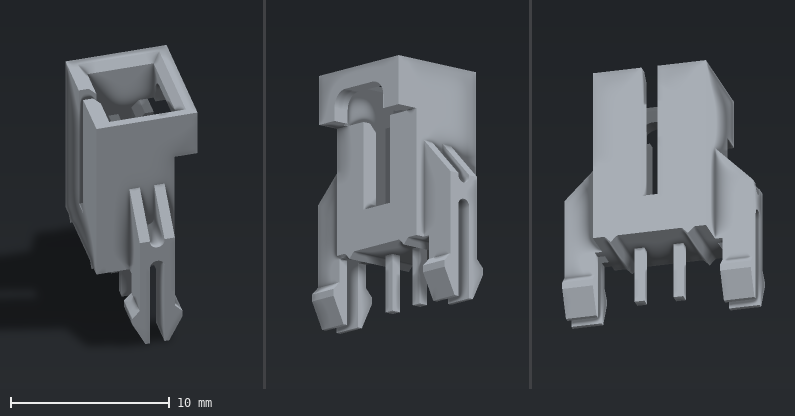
import cadquery as cq
import math

total_height = 15.62
body_bottom = 4.19
cavity_floor = 6.73
step_level = 12.43

body_width = 7.4
body_depth = 6.6
back_step = 1.52
front_y = -body_depth / 2
back_y = body_depth / 2
lower_back_y = back_y - back_step
lower_depth = lower_back_y - front_y

cavity_width = 5.37
front_wall = 1.15
back_wall = 1.12
lead_in = 0.5
lead_in_angle = 45
cavity_front_y = front_y + front_wall
cavity_back_y = back_y - back_wall
cavity_depth = cavity_back_y - cavity_front_y

key_slot_width = 1.05
window_width = 4.53
lintel_height = 1.28
window_top = total_height - lintel_height
window_corner_radius = 1.0

post_gap = 2.47
post_depth = 1.06
post_width = (cavity_width - post_gap) / 2

pin_size = 0.64
pin_pitch = 2.55
pin_y = -0.75
pin_bottom = 0.5

rib_spacing = 5.06
rib_height = 0.4
rib_root_radius = 0.23
flank_angle = math.pi / 4

overall_width = 12.34
leg_length = 2.0
leg_width = 2.3
leg_top_at_body = 10.47
leg_shoulder_top = 8.0
leg_gap = 0.94
gap_radius = leg_gap / 2
upper_groove_bottom = 7.45
lower_slot_top = 6.39
barb_half_width = 1.64
barb_top = 2.65
barb_edge_top = 2.15
barb_edge_bottom = 1.7
tip_half_width = 0.78


def block(x_size, y_size, z_bottom, z_top, x=0.0, y_front=0.0):
    """Box centred on x, starting at y_front, between two levels."""
    return (
        cq.Workplane("XY", origin=(x, y_front + y_size / 2, z_bottom))
        .rect(x_size, y_size)
        .extrude(z_top - z_bottom)
    )


def make_housing():
    lower = block(body_width, lower_depth, body_bottom, total_height, y_front=front_y)
    upper = block(body_width, body_depth, step_level, total_height, y_front=front_y)
    return lower.union(upper)


def make_cavity():
    cavity = block(cavity_width, cavity_depth, cavity_floor, total_height, y_front=cavity_front_y)
    mouth = (
        cq.Workplane("XY", origin=(0, cavity_front_y + cavity_depth / 2, total_height))
        .rect(cavity_width + 2 * lead_in, cavity_depth + 2 * lead_in)
        .extrude(-lead_in, taper=lead_in_angle)
    )
    return cavity.union(mouth)


def make_key_slot():
    return block(key_slot_width, front_wall, cavity_floor, total_height, y_front=front_y)


def make_window():
    window = block(window_width, back_wall, step_level, window_top, y_front=cavity_back_y)
    return window.edges("|Y and >Z").fillet(window_corner_radius)


def make_latch_post(side):
    post_x = side * (post_gap + post_width) / 2
    post_front_y = lower_back_y - post_depth
    post = block(post_width, post_depth, cavity_floor, step_level, post_x, post_front_y)
    return post.faces(">Z").edges("<Y").chamfer(lead_in)


def make_pin(side):
    pin_x = side * pin_pitch / 2
    return block(pin_size, pin_size, pin_bottom, step_level, pin_x, pin_y - pin_size / 2)


def make_rib(side):
    center_x = side * rib_spacing / 2
    tangent = rib_root_radius * math.tan(flank_angle / 2)
    half_width = rib_height / math.tan(flank_angle)
    root = half_width + tangent
    flank_x = half_width - tangent * math.cos(flank_angle)
    flank_z = body_bottom - tangent * math.sin(flank_angle)
    middle_x = root - rib_root_radius * math.sin(flank_angle / 2)
    middle_z = body_bottom - rib_root_radius * (1 - math.cos(flank_angle / 2))
    return (
        cq.Workplane("XZ", origin=(center_x, front_y, 0))
        .moveTo(-root, body_bottom)
        .threePointArc((-middle_x, middle_z), (-flank_x, flank_z))
        .lineTo(0, body_bottom - rib_height)
        .lineTo(flank_x, flank_z)
        .threePointArc((middle_x, middle_z), (root, body_bottom))
        .close()
        .extrude(-lower_depth)
    )


def make_leg(side):
    body_x = side * body_width / 2
    outer_x = side * overall_width / 2
    inner_x = outer_x - side * leg_length
    side_length = outer_x - body_x

    front_outline = (
        cq.Workplane("XZ")
        .polyline([
            (body_x, body_bottom),
            (body_x, leg_top_at_body),
            (outer_x, leg_shoulder_top),
            (outer_x, 0),
            (inner_x, 0),
            (inner_x, body_bottom),
        ])
        .close()
        .extrude(barb_half_width, both=True)
    )

    half_outline = [
        (leg_width / 2, leg_top_at_body),
        (leg_width / 2, barb_top),
        (barb_half_width, barb_edge_top),
        (barb_half_width, barb_edge_bottom),
        (tip_half_width, 0),
    ]
    mirrored_outline = [(-y, z) for y, z in reversed(half_outline)]
    side_plane = cq.Workplane("YZ", origin=(body_x, 0, 0))
    side_outline = side_plane.polyline(half_outline + mirrored_outline).close().extrude(side_length)

    groove = (
        side_plane
        .moveTo(-gap_radius, leg_top_at_body)
        .lineTo(-gap_radius, upper_groove_bottom + gap_radius)
        .threePointArc((0, upper_groove_bottom), (gap_radius, upper_groove_bottom + gap_radius))
        .lineTo(gap_radius, leg_top_at_body)
        .close()
        .extrude(side_length)
    )
    slot = (
        side_plane
        .moveTo(-gap_radius, 0)
        .lineTo(-gap_radius, lower_slot_top - gap_radius)
        .threePointArc((0, lower_slot_top), (gap_radius, lower_slot_top - gap_radius))
        .lineTo(gap_radius, 0)
        .close()
        .extrude(side_length)
    )
    return front_outline.intersect(side_outline).cut(groove).cut(slot)


result = make_housing().cut(make_cavity()).cut(make_key_slot()).cut(make_window())
for side in (-1, 1):
    result = result.union(make_latch_post(side))
    result = result.union(make_pin(side))
    result = result.union(make_rib(side))
    result = result.union(make_leg(side))